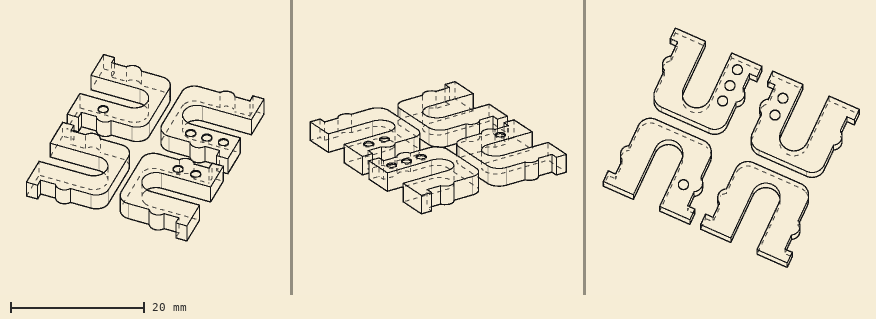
import cadquery as cq

CLIP_LENGTH = 12.0
CLIP_WIDTH = 14.27
FOOT_LENGTH = 1.82
FOOT_HEIGHT = 1.2
BODY_HALF_WIDTH = CLIP_WIDTH / 2 - FOOT_HEIGHT
CORNER_RADIUS = 2.0
SLOT_WIDTH = 4.3
SLOT_DEPTH = 10.1
BUMP_X = 5.42
BUMP_CHORD = 2.42
BUMP_HEIGHT = 0.73

MARK_DIAMETER = 1.5
MARK_DEPTH = 0.2
MARK_Y = 4.0

OVERALL_LENGTH = 26.03
OVERALL_WIDTH = 30.3
COLUMN_GAP = OVERALL_LENGTH - 2 * CLIP_LENGTH
ROW_GAP = OVERALL_WIDTH - 2 * CLIP_WIDTH

CLIPS = [
    (-1, -1, 2.85, []),
    (-1, 1, 2.97, [4.55]),
    (1, -1, 3.1, [3.18, 6.03]),
    (1, 1, 3.1, [2.0, 4.7, 7.3]),
]


def clip_blank(thickness):
    """Plate with feet at the open end, rounded closed end and a bump on each side."""
    bump_start = BUMP_X - BUMP_CHORD / 2
    bump_end = BUMP_X + BUMP_CHORD / 2
    bump_top = BODY_HALF_WIDTH + BUMP_HEIGHT
    outline = (
        cq.Workplane("XY")
        .moveTo(0, -CLIP_WIDTH / 2)
        .lineTo(FOOT_LENGTH, -CLIP_WIDTH / 2)
        .lineTo(FOOT_LENGTH, -BODY_HALF_WIDTH)
        .lineTo(bump_start, -BODY_HALF_WIDTH)
        .threePointArc((BUMP_X, -bump_top), (bump_end, -BODY_HALF_WIDTH))
        .lineTo(CLIP_LENGTH, -BODY_HALF_WIDTH)
        .lineTo(CLIP_LENGTH, BODY_HALF_WIDTH)
        .lineTo(bump_end, BODY_HALF_WIDTH)
        .threePointArc((BUMP_X, bump_top), (bump_start, BODY_HALF_WIDTH))
        .lineTo(FOOT_LENGTH, BODY_HALF_WIDTH)
        .lineTo(FOOT_LENGTH, CLIP_WIDTH / 2)
        .lineTo(0, CLIP_WIDTH / 2)
        .close()
    )
    return outline.extrude(thickness).edges("|Z and >X").fillet(CORNER_RADIUS)


def slot_cutter(thickness):
    """Round-ended slot that enters from the open end."""
    slot_radius = SLOT_WIDTH / 2
    arc_x = SLOT_DEPTH - slot_radius
    return (
        cq.Workplane("XY")
        .moveTo(0, -slot_radius)
        .lineTo(arc_x, -slot_radius)
        .threePointArc((SLOT_DEPTH, 0), (arc_x, slot_radius))
        .lineTo(0, slot_radius)
        .close()
        .extrude(thickness)
    )


def make_clip(column, row, thickness, mark_distances):
    """One marked clip, turned and moved to its place in the layout."""
    clip = clip_blank(thickness).cut(slot_cutter(thickness))
    mark_y = -row * MARK_Y
    if column > 0:
        clip = clip.mirror("YZ")
    for distance in mark_distances:
        mark = (
            cq.Workplane("XY", origin=(-column * distance, mark_y, thickness - MARK_DEPTH))
            .circle(MARK_DIAMETER / 2)
            .extrude(MARK_DEPTH)
        )
        clip = clip.cut(mark)
    open_end_x = column * (COLUMN_GAP / 2 + CLIP_LENGTH)
    mid_line_y = row * (ROW_GAP + CLIP_WIDTH) / 2
    return clip.translate((open_end_x, mid_line_y, 0))


clips = [make_clip(*clip_sizes) for clip_sizes in CLIPS]

result = cq.Compound.makeCompound([clip.val() for clip in clips])